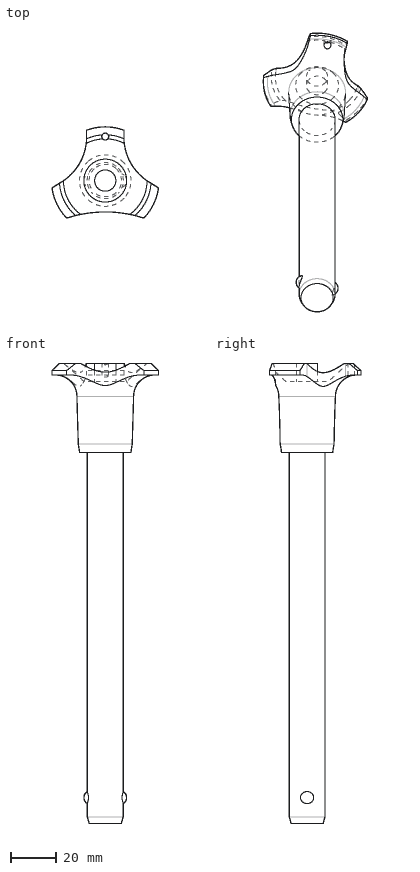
import cadquery as cq
import math

total_length = 203.7
handle_height = 39.5
shank_length = total_length - handle_height

shank_radius = 8.0
tip_radius = 7.15
tip_height = 3.0

ball_radius = 3.1
ball_reach = 9.5
ball_above_tip = 11.5

barrel_bottom_radius = 11.4
barrel_lower_radius = 12.0
barrel_upper_radius = 12.6
barrel_taper_height = 3.8
barrel_top_height = 24.9

flare_radius = 9.4
rim_radius = 23.85
rim_top_drop = 3.2
rim_flat_outer_radius = 20.3
rim_flat_inner_radius = 18.5

dish_mid_radius = 13.0
dish_mid_depth = 4.7
dish_floor_radius = 9.5
dish_depth = 8.0
button_radius = 4.7

rear_arm_half_width = 8.4
rear_arm_straight_start = 17.0
side_notch_radius = 13.7
side_notch_angle = math.radians(30)
front_arm_straight_start = (18.6, -0.1)
front_arm_half_span = 23.63
front_arm_reach = 16.65
front_notch_distance = 13.9

lanyard_hole_radius = 1.5
lanyard_hole_distance = 19.5


def mirrored(point):
    """Reflect a plan point across the YZ plane."""
    return (-point[0], point[1])


def rim_point(angle):
    """Plan point on the rim circle."""
    return (rim_radius * math.cos(angle), rim_radius * math.sin(angle))


def make_shank():
    shank = cq.Workplane("XY").circle(shank_radius).extrude(-shank_length)
    return shank.faces("<Z").chamfer(tip_height, shank_radius - tip_radius)


def make_balls():
    ball_z = ball_above_tip - shank_length
    ball_offset = ball_reach - ball_radius
    centres = [(-ball_offset, 0, ball_z), (ball_offset, 0, ball_z)]
    return cq.Workplane("XY").pushPoints(centres).sphere(ball_radius)


def make_bell():
    """Revolved barrel, flare and dish, before the finger notches are cut."""
    flare_centre_radius = barrel_upper_radius + flare_radius
    flare_top_height = barrel_top_height + flare_radius
    diagonal = flare_radius * math.sqrt(0.5)
    flare_mid = (flare_centre_radius - diagonal, barrel_top_height + diagonal)
    dish_floor_height = handle_height - dish_depth
    profile = (
        cq.Workplane("XZ")
        .moveTo(0, 0)
        .lineTo(barrel_bottom_radius, 0)
        .lineTo(barrel_lower_radius, barrel_taper_height)
        .lineTo(barrel_upper_radius, barrel_top_height)
        .threePointArc(flare_mid, (flare_centre_radius, flare_top_height))
        .lineTo(rim_radius, flare_top_height)
        .lineTo(rim_radius, handle_height - rim_top_drop)
        .lineTo(rim_flat_outer_radius, handle_height)
        .lineTo(rim_flat_inner_radius, handle_height)
        .threePointArc(
            (dish_mid_radius, handle_height - dish_mid_depth),
            (dish_floor_radius, dish_floor_height),
        )
        .lineTo(button_radius, dish_floor_height)
        .lineTo(button_radius, handle_height)
        .lineTo(0, handle_height)
        .close()
    )
    return profile.revolve(360, (0, 0, 0), (0, 1, 0))


def make_arm_outline():
    """Plan prism of one rear arm and two front arms, with concave notches between."""
    rear_corner = (rear_arm_half_width, math.sqrt(rim_radius**2 - rear_arm_half_width**2))
    rear_straight = (rear_arm_half_width, rear_arm_straight_start)
    side_notch = (
        side_notch_radius * math.cos(side_notch_angle),
        side_notch_radius * math.sin(side_notch_angle),
    )
    outer_angle = -math.acos(front_arm_half_span / rim_radius)
    front_angle = -math.asin(front_arm_reach / rim_radius)
    outer_corner = rim_point(outer_angle)
    front_corner = rim_point(front_angle)
    front_rim = rim_point((outer_angle + front_angle) / 2)
    outline = (
        cq.Workplane("XY")
        .moveTo(*rear_corner)
        .lineTo(*rear_straight)
        .threePointArc(side_notch, front_arm_straight_start)
        .lineTo(*outer_corner)
        .threePointArc(front_rim, front_corner)
        .threePointArc((0, -front_notch_distance), mirrored(front_corner))
        .threePointArc(mirrored(front_rim), mirrored(outer_corner))
        .lineTo(*mirrored(front_arm_straight_start))
        .threePointArc(mirrored(side_notch), mirrored(rear_straight))
        .lineTo(*mirrored(rear_corner))
        .threePointArc((0, rim_radius), rear_corner)
        .close()
    )
    return outline.extrude(handle_height)


def make_lanyard_hole():
    hole = cq.Workplane("XY").center(0, lanyard_hole_distance).circle(lanyard_hole_radius)
    return hole.extrude(handle_height)


handle = make_bell().intersect(make_arm_outline()).cut(make_lanyard_hole())
result = handle.union(make_shank()).union(make_balls())